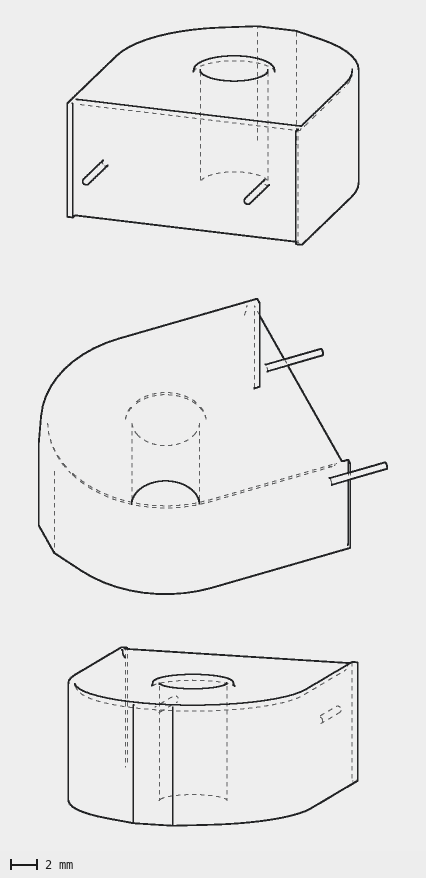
import cadquery as cq
import math

length = 24.6
width = 18.5
height = 9.0

edge_round = 0.1
wall = 0.5
wing_end_y = -11.07
face_y = -10.58
flat_half_width = 1.53

pin_diameter = 0.52
pin_spacing = 12.7
pin_length = 4.5
pin_tip_round = 0.07
pin_root_round = 0.1
pin_embedded = 0.5

recess_end_y = -9.99
recess_depth = 0.52
recess_fillet = 0.4
bore_radius = 2.5
rim_radius = bore_radius + wall

round_radius = width / 2
flat_y = length + face_y - pin_length
top_z = height / 2
inner_x = width / 2 - wall
pin_radius = pin_diameter / 2


def make_body():
    """D-shaped block with a small flat at the back and two wings beside the front face."""
    corner_distance = math.hypot(flat_half_width, flat_y)
    tangent_angle = math.atan2(flat_half_width, flat_y) + math.acos(round_radius / corner_distance)
    tangent_x = round_radius * math.sin(tangent_angle)
    tangent_y = round_radius * math.cos(tangent_angle)
    arc_mid_angle = (tangent_angle + math.pi / 2) / 2
    mid_x = round_radius * math.sin(arc_mid_angle)
    mid_y = round_radius * math.cos(arc_mid_angle)

    block = (
        cq.Workplane("XY", origin=(0, 0, -top_z))
        .moveTo(-inner_x, face_y)
        .lineTo(-inner_x, wing_end_y)
        .lineTo(-width / 2, wing_end_y)
        .lineTo(-width / 2, 0)
        .threePointArc((-mid_x, mid_y), (-tangent_x, tangent_y))
        .lineTo(-flat_half_width, flat_y)
        .lineTo(flat_half_width, flat_y)
        .lineTo(tangent_x, tangent_y)
        .threePointArc((mid_x, mid_y), (width / 2, 0))
        .lineTo(width / 2, wing_end_y)
        .lineTo(inner_x, wing_end_y)
        .lineTo(inner_x, face_y)
        .close()
        .extrude(height)
    )
    for side in (-1, 1):
        for x, y in ((width / 2, wing_end_y), (inner_x, face_y)):
            corner = cq.selectors.NearestToPointSelector((side * x, y, 0))
            block = block.edges("|Z").edges(corner).fillet(edge_round)
    return block


def make_recess():
    """Space above the sunken top face, with a rounded foot, leaving the rim around the bore."""
    floor_z = top_z - recess_depth
    space = (
        cq.Workplane("XY", origin=(0, 0, floor_z))
        .moveTo(-inner_x, recess_end_y)
        .lineTo(-inner_x, 0)
        .threePointArc((0, inner_x), (inner_x, 0))
        .lineTo(inner_x, recess_end_y)
        .close()
        .extrude(recess_depth)
    )
    rim = cq.Workplane("XY", origin=(0, 0, floor_z)).circle(rim_radius).extrude(recess_depth)
    return space.cut(rim).faces("<Z").edges().fillet(recess_fillet)


def make_pin(x):
    """Round pin with a rounded tip and a small flare where it leaves the front face."""
    tip_y = face_y - pin_length
    root_y = face_y + pin_embedded
    flare_radius = pin_radius + pin_root_round
    flare_end_y = face_y - pin_root_round
    mid_step = pin_root_round * (1 - math.sqrt(0.5))
    flared_pin = (
        cq.Workplane("XY")
        .moveTo(0, tip_y)
        .lineTo(pin_radius, tip_y)
        .lineTo(pin_radius, flare_end_y)
        .threePointArc((pin_radius + mid_step, face_y - mid_step), (flare_radius, face_y))
        .lineTo(flare_radius, root_y)
        .lineTo(0, root_y)
        .close()
        .revolve(360, (0, 0, 0), (0, 1, 0))
    )
    return flared_pin.faces("<Y").edges().fillet(pin_tip_round).translate((x, 0, 0))


bore = cq.Workplane("XY", origin=(0, 0, -top_z)).circle(bore_radius).extrude(height)

result = make_body().cut(make_recess()).cut(bore)
result = result.faces("<Z or >Z").edges().fillet(edge_round)
for pin_x in (-pin_spacing / 2, pin_spacing / 2):
    result = result.union(make_pin(pin_x))